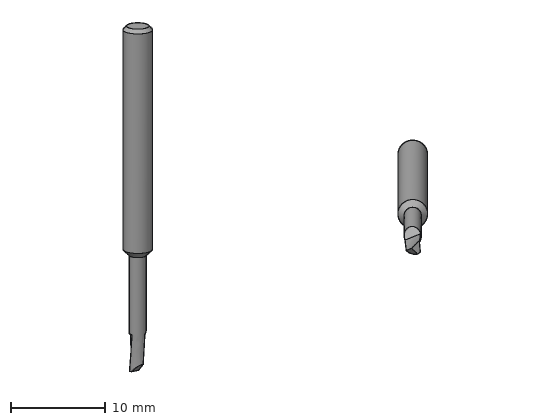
import cadquery as cq
import math

total_length = 38.1
shank_radius = 1.58
shank_chamfer = 0.42
shank_chamfer_radial = 0.4
shoulder_top = 13.4
neck_radius = 0.9
shoulder_bottom = shoulder_top - (shank_radius - neck_radius)

head_top = 4.1
tip_radius = 1.0
rake_top_left_y = -0.4
rake_top_right_y = 0.35
rake_tip_y = -0.05
heel_top_x = 0.23
heel_tip_x = -0.15

ramp_rise_per_depth = 0.9
ramp_depth = 3 * neck_radius

bevel_start_x = 0.23
end_clearance = 0.08
bevel_top = 0.95
cut_margin = 0.4


def across(radius, offset):
    """Half chord of a circle at a given offset from its centre."""
    return math.sqrt(radius**2 - offset**2)


def head_section(body, radius, left_y, right_y, heel_x):
    """Section bounded by the rake, the flat relief and the round back."""
    left = (-across(radius, left_y), left_y)
    right = (across(radius, right_y), right_y)
    heel = (heel_x, -across(radius, heel_x))
    heel_angle = math.atan2(heel[1], heel[0])
    right_angle = math.atan2(right[1], right[0])
    middle_angle = (heel_angle + right_angle) / 2
    back = (radius * math.cos(middle_angle), radius * math.sin(middle_angle))
    return body.moveTo(*left).lineTo(*heel).threePointArc(back, right).close()


def make_holder():
    profile = [
        (0, head_top),
        (neck_radius, head_top),
        (neck_radius, shoulder_bottom),
        (shank_radius, shoulder_top),
        (shank_radius, total_length - shank_chamfer),
        (shank_radius - shank_chamfer_radial, total_length),
        (0, total_length),
    ]
    return cq.Workplane("XZ").polyline(profile).close().revolve(360, (0, 0, 0), (0, 1, 0))


def make_head():
    tip = head_section(cq.Workplane("XY"), tip_radius, rake_tip_y, rake_tip_y, heel_tip_x)
    return head_section(
        tip.workplane(offset=head_top), neck_radius, rake_top_left_y, rake_top_right_y, heel_top_x
    ).loft(ruled=True)


def make_ramp_cutter():
    """Wedge whose lower edge lies along the top of the rake face."""
    left_x = -across(neck_radius, rake_top_left_y)
    right_x = across(neck_radius, rake_top_right_y)
    along_rake = (right_x - left_x, rake_top_right_y - rake_top_left_y, 0)
    plane = cq.Plane(
        origin=(left_x, rake_top_left_y, head_top), xDir=(-along_rake[1], along_rake[0], 0), normal=along_rake
    )
    wedge = [(0, 0), (ramp_depth, 0), (ramp_depth, ramp_depth * ramp_rise_per_depth)]
    return cq.Workplane(plane).polyline(wedge).close().extrude(ramp_depth, both=True)


def make_end_cutter():
    outline = [
        (-tip_radius, 0),
        (bevel_start_x, end_clearance),
        (tip_radius, bevel_top),
        (tip_radius + cut_margin, bevel_top),
        (tip_radius + cut_margin, -cut_margin),
        (-tip_radius, -cut_margin),
    ]
    return cq.Workplane("XZ").polyline(outline).close().extrude(2 * tip_radius, both=True)


holder = make_holder().cut(make_ramp_cutter())
head = make_head().cut(make_end_cutter())
result = holder.union(head)